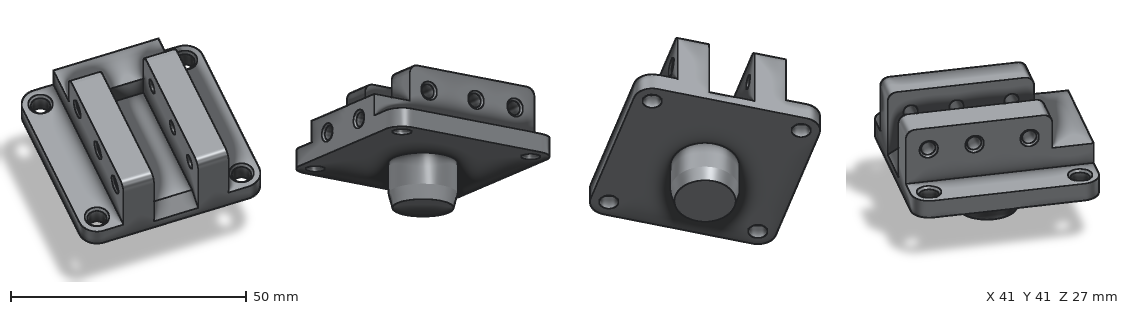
import cadquery as cq

plate_side = 41.0
plate_thickness = 4.1
corner_radius = 4.0
mount_hole_diameter = 4.1
mount_rim_diameter = 5.2

block_width = 24.0
block_top = 8.85
rail_top = 17.0
rail_setback = 9.05
rail_fillet = 2.0
slot_width = 10.05
slot_ramp_length = 3.53
slot_ramp_drop = 2.05

small_hole_diameter = 3.1
small_rim_diameter = 4.05
rail_hole_height = 11.9
rail_hole_setbacks = (14.0, 26.0, 36.0)
end_hole_height = 4.8
end_hole_spacing = 12.0
end_hole_depth = 8.2

spigot_diameter = 14.68
spigot_tip_diameter = 13.0
spigot_length = 10.0
spigot_taper_length = 3.15

half_side = plate_side / 2
half_block = block_width / 2
rail_start = -half_side + rail_setback


def hole_cutter(origin, direction, depth, hole_diameter, rim_diameter):
    """Cylinder with a 45 degree countersink at its origin."""
    hole_radius = hole_diameter / 2
    rim_radius = rim_diameter / 2
    countersink_depth = rim_radius - hole_radius
    start = cq.Vector(*origin)
    axis = cq.Vector(*direction)
    bore = cq.Solid.makeCylinder(hole_radius, depth, start, axis)
    countersink = cq.Solid.makeCone(rim_radius, hole_radius, countersink_depth, start, axis)
    return cq.Workplane(obj=bore).union(cq.Workplane(obj=countersink))


def make_plate():
    return (
        cq.Workplane("XY")
        .rect(plate_side, plate_side)
        .extrude(plate_thickness)
        .edges("|Z")
        .fillet(corner_radius)
    )


def make_block():
    """Low step at -X and full-height rail stock behind it."""
    rail_length = plate_side - rail_setback
    step = cq.Workplane("XY").box(
        plate_side, block_width, block_top - plate_thickness, centered=(True, True, False)
    ).translate((0, 0, plate_thickness))
    rails = cq.Workplane("XY").box(
        rail_length, block_width, rail_top - plate_thickness, centered=(False, True, False)
    ).translate((rail_start, 0, plate_thickness))
    rails = rails.edges("|Y and >Z").fillet(rail_fillet)
    return step.union(rails)


def make_slot():
    """Gap between the rails, its floor sloping down at the open +X end."""
    return (
        cq.Workplane("XZ")
        .moveTo(rail_start, rail_top)
        .lineTo(rail_start, plate_thickness)
        .lineTo(half_side - slot_ramp_length, plate_thickness)
        .lineTo(half_side, plate_thickness - slot_ramp_drop)
        .lineTo(half_side, rail_top)
        .close()
        .extrude(slot_width / 2, both=True)
    )


def make_spigot():
    straight_length = spigot_length - spigot_taper_length
    return (
        cq.Workplane("XZ")
        .lineTo(spigot_diameter / 2, 0)
        .lineTo(spigot_diameter / 2, -straight_length)
        .lineTo(spigot_tip_diameter / 2, -spigot_length)
        .lineTo(0, -spigot_length)
        .close()
        .revolve(360, (0, 0), (0, 1))
    )


result = make_plate().union(make_block()).cut(make_slot()).union(make_spigot())

mount_offset = half_side - corner_radius
for x in (-mount_offset, mount_offset):
    for y in (-mount_offset, mount_offset):
        result = result.cut(hole_cutter(
            (x, y, plate_thickness), (0, 0, -1), plate_thickness, mount_hole_diameter, mount_rim_diameter
        ))

rail_thickness = (block_width - slot_width) / 2
for setback in rail_hole_setbacks:
    for side in (-1, 1):
        result = result.cut(hole_cutter(
            (-half_side + setback, side * half_block, rail_hole_height),
            (0, -side, 0), rail_thickness, small_hole_diameter, small_rim_diameter
        ))

for side in (-1, 1):
    result = result.cut(hole_cutter(
        (-half_side, side * end_hole_spacing / 2, end_hole_height),
        (1, 0, 0), end_hole_depth, small_hole_diameter, small_rim_diameter
    ))